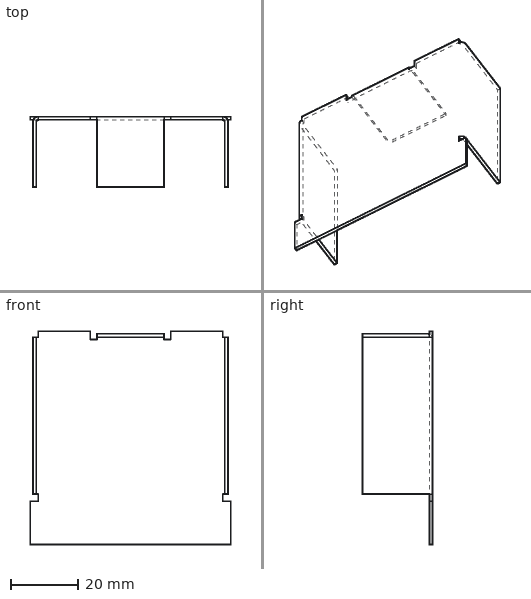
import cadquery as cq
import math

thickness = 1.0
inner_radius = 0.6
outer_radius = inner_radius + thickness

height = 63.75
foot_width = 60.0
foot_height = 13.0
body_width = 55.1
notch_width = 24.0
notch_floor = 61.25

flange_depth = 21.05
side_flange_bottom = 15.05
side_flange_top = 61.9
tab_width = 20.0
tab_bend_start = 61.4


def make_back_plate():
    """Flat plate with a wide foot and a relief notch around the top tab."""
    half_foot = foot_width / 2
    half_body = body_width / 2
    half_notch = notch_width / 2
    half_tab = tab_width / 2
    right_half = [
        (half_foot, 0),
        (half_foot, foot_height),
        (half_body, foot_height),
        (half_body, height),
        (half_notch, height),
        (half_notch, notch_floor),
        (half_tab, notch_floor),
        (half_tab, tab_bend_start),
    ]
    left_half = [(-x, z) for x, z in reversed(right_half)]
    return cq.Workplane("XZ").polyline(right_half + left_half).close().extrude(thickness)


def make_flange(plane, length):
    """Bent flange: local x leaves the plate edge, local y points to the rear."""
    diagonal = math.sqrt(0.5)
    inner_mid = (inner_radius * diagonal, -outer_radius + inner_radius * diagonal)
    outer_mid = (outer_radius * diagonal, -outer_radius + outer_radius * diagonal)
    return (
        cq.Workplane(plane)
        .moveTo(0, 0)
        .threePointArc(outer_mid, (outer_radius, -outer_radius))
        .lineTo(outer_radius, -flange_depth)
        .lineTo(inner_radius, -flange_depth)
        .lineTo(inner_radius, -outer_radius)
        .threePointArc(inner_mid, (0, -thickness))
        .close()
        .extrude(length)
    )


side_plane = cq.Plane(origin=(body_width / 2, 0, side_flange_bottom), xDir=(1, 0, 0), normal=(0, 0, 1))
side_flange = make_flange(side_plane, side_flange_top - side_flange_bottom)

tab_plane = cq.Plane(origin=(tab_width / 2, 0, tab_bend_start), xDir=(0, 0, 1), normal=(-1, 0, 0))
top_tab = make_flange(tab_plane, tab_width)

result = (
    make_back_plate()
    .union(side_flange)
    .union(side_flange.mirror("YZ"))
    .union(top_tab)
)